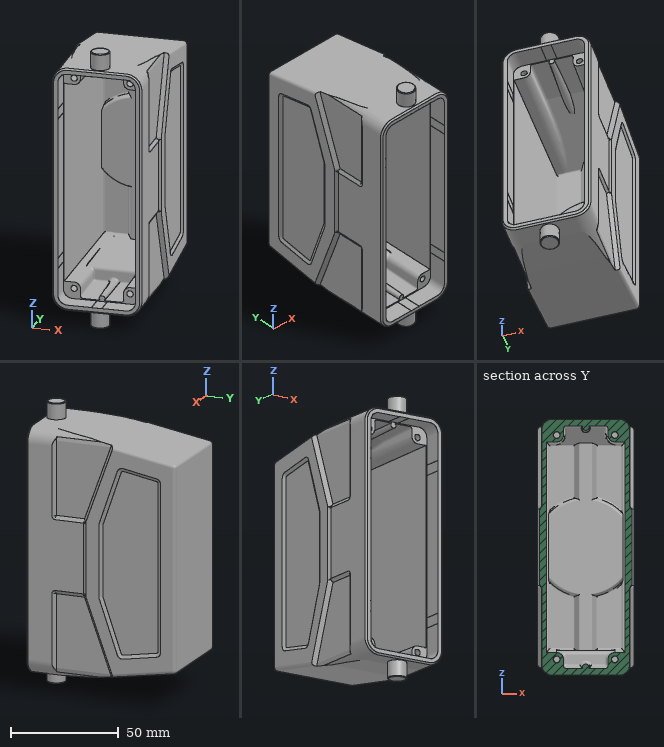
import cadquery as cq
import math

DEPTH = 76.0
BACK_WIDTH = 45.0
FRONT_WIDTH = 43.2
HALF_HEIGHT = 60.0
FRONT_BODY_DEPTH = 45.0
FRONT_CORNER_R = 7.6
RIM_CHAMFER = 0.8

COLLAR_DEPTH = 11.2
BEND_DEPTH = 31.8
BEND_HALF_HEIGHT = 58.0
BEND_FACET = 0.9
BACK_HALF_HEIGHT = 50.6
BACK_EDGE_R = 1.8

PANEL_X = 20.5
PANEL_FRONT = 14.8
PANEL_INNER_Z = 19.0
PANEL_WALL_ANGLE = 59.0
PANEL_BEVEL_Z = 55.1
PANEL_BEVEL_ANGLE = 14.0

BLOCK_FRONT = 29.0
BLOCK_SHOULDER_DEPTH = 42.2
BLOCK_SHOULDER_Z = 55.1
BLOCK_EDGE_WIDTH = 1.7
BLOCK_RAMP_Z = 17.8

RECESS_DEPTH = 1.0
RECESS_WALL_ANGLE = 59.0
RECESS_FRONT = 38.7
RECESS_BACK = 66.6
RECESS_CORNER_DEPTH = 48.2
RECESS_STRAIGHT_Z = 17.4
RECESS_CORNER_Z = 44.7
RECESS_BACK_DROP = 3.2
RECESS_CORNER_R = 1.0

PEG_D = 9.0
PEG_DEPTH = 6.1
PEG_TIP = 68.0
PEG_CHAMFER = 0.4
PEG_OVERLAP = 1.0

CAVITY_HALF_WIDTH = 18.7
CAVITY_HALF_HEIGHT = 57.2
CAVITY_CORNER_R = 4.5
CAVITY_DRAFT = 1.0
CAVITY_FLOOR = 73.0
CAVITY_BEND_Z = 55.4
CAVITY_BACK_Z = 47.6
MOUTH_DEPTH = 9.2
MOUTH_STEP = 0.25

GROOVE_DEPTH = 0.05
GROOVE_WIDTH = 5.0
GROOVE_Z = 37.0

SCREW_X = 13.5
SCREW_Z = 52.1
SCREW_HOLE_D = 3.0
SCREW_HOLE_DEPTH = 15.0
BOSS_R = 3.1
BOSS_DRAFT = 1.3
BOSS_FOOT_R = 1.2

RIB_Z = 55.8
RIB_FRONT_R = 1.4
RIB_DRAFT = 2.0

LEDGE_DEPTH = 30.0
LEDGE_TOP_Z = 48.0
LEDGE_EDGE_R = 2.2
LEDGE_FOOT_R = 1.1

RAISED_HEIGHT = 4.0
RAISED_EDGE_R = 0.7
DISC_TOP_R = 22.4
DISC_BASE_R = 23.4
FLOOR_EDGE_R = 0.7
BAR_TOP_HALF_WIDTH = 3.0
BAR_BASE_HALF_WIDTH = 5.2

OVERRUN = 10.0
PICK_MARGIN = 0.1


def facing_back(y):
    """Workplane at depth y whose extrusions run toward the back (+Y); its local Y is -Z."""
    return cq.Workplane(cq.Plane(origin=(0, y, 0), xDir=(1, 0, 0), normal=(0, 1, 0)))


def side_plane(x=0.0):
    """Workplane at x, drawn in (Y, Z), whose extrusions run toward +X."""
    return cq.Workplane("YZ", origin=(x, 0, 0))


def mirrored_in_z(points):
    """Closed outline made from its upper half, given from front to back."""
    return points + [(y, -z) for y, z in reversed(points)]


def on_both_sides(shape):
    return shape.union(shape.mirror("YZ"))


def envelope(width):
    gentle_slope = (HALF_HEIGHT - BEND_HALF_HEIGHT) / (BEND_DEPTH - COLLAR_DEPTH)
    rear_slope = (BEND_HALF_HEIGHT - BACK_HALF_HEIGHT) / (DEPTH - BEND_DEPTH)
    half_facet = BEND_FACET / 2
    upper = [
        (0, HALF_HEIGHT),
        (COLLAR_DEPTH, HALF_HEIGHT),
        (BEND_DEPTH - half_facet, BEND_HALF_HEIGHT + gentle_slope * half_facet),
        (BEND_DEPTH + half_facet, BEND_HALF_HEIGHT - rear_slope * half_facet),
        (DEPTH, BACK_HALF_HEIGHT),
    ]
    return side_plane(-width / 2).polyline(mirrored_in_z(upper)).close().extrude(width)


def front_body():
    body = facing_back(0).rect(FRONT_WIDTH, 2 * HALF_HEIGHT).extrude(FRONT_BODY_DEPTH)
    body = body.edges("|Y").fillet(FRONT_CORNER_R)
    body = body.faces("<Y").chamfer(RIM_CHAMFER)
    return body.intersect(envelope(FRONT_WIDTH))


def side_panel(direction):
    """Cutter for the upper (+1) or lower (-1) pair of flank panels."""
    height = HALF_HEIGHT + OVERRUN - PANEL_INNER_Z
    length = DEPTH + OVERRUN - PANEL_FRONT
    centre = (PANEL_FRONT + length / 2, direction * (PANEL_INNER_Z + height / 2))
    cutter = side_plane(PANEL_X).center(*centre).rect(length, height)
    cutter = cutter.extrude(BACK_WIDTH / 2 - PANEL_X, taper=-PANEL_WALL_ANGLE)
    rise = HALF_HEIGHT - PANEL_BEVEL_Z
    inset = rise * math.tan(math.radians(PANEL_BEVEL_ANGLE))
    bevel = [
        (PANEL_X, direction * PANEL_BEVEL_Z),
        (PANEL_X - inset, direction * HALF_HEIGHT),
        (PANEL_X, direction * HALF_HEIGHT),
    ]
    wedge = cq.Workplane("XZ", origin=(0, PANEL_FRONT, 0)).polyline(bevel).close()
    cutter = cutter.union(wedge.extrude(PANEL_FRONT - DEPTH))
    return on_both_sides(cutter)


def rear_block():
    slope = (BLOCK_SHOULDER_DEPTH - BLOCK_FRONT) / (BLOCK_SHOULDER_Z - PANEL_INNER_Z)
    top = HALF_HEIGHT + OVERRUN
    upper = [
        (BLOCK_FRONT, PANEL_INNER_Z),
        (BLOCK_FRONT + slope * (top - PANEL_INNER_Z), top),
        (DEPTH + OVERRUN, top),
    ]
    outline = mirrored_in_z(upper)
    raise_height = BACK_WIDTH / 2 - PANEL_X
    taper = math.degrees(math.atan2(BLOCK_EDGE_WIDTH, raise_height))
    core = side_plane().polyline(outline).close().extrude(PANEL_X, both=True)
    cheek = side_plane(PANEL_X).polyline(outline).close().extrude(raise_height, taper=taper)
    ramp = [
        (FRONT_WIDTH / 2, BLOCK_FRONT),
        (BACK_WIDTH / 2, BLOCK_FRONT + BLOCK_EDGE_WIDTH),
        (FRONT_WIDTH / 2, BLOCK_FRONT + BLOCK_EDGE_WIDTH),
    ]
    front_edge = cq.Workplane("XY").polyline(ramp).close().extrude(BLOCK_RAMP_Z, both=True)
    cheek = cheek.union(front_edge)
    rounded = envelope(BACK_WIDTH)
    rounded = rounded.faces(">X or <X or >Y").edges("not(<Y)").fillet(BACK_EDGE_R)
    return core.union(on_both_sides(cheek)).intersect(rounded)


def side_recess():
    upper = [
        (RECESS_FRONT, RECESS_STRAIGHT_Z),
        (RECESS_CORNER_DEPTH, RECESS_CORNER_Z),
        (RECESS_BACK, RECESS_CORNER_Z - RECESS_BACK_DROP),
    ]
    outline = cq.Sketch().polygon(mirrored_in_z(upper) + upper[:1])
    outline = outline.vertices(">X or >Y or <Y").fillet(RECESS_CORNER_R)
    cutter = side_plane(BACK_WIDTH / 2 - RECESS_DEPTH).placeSketch(outline)
    cutter = cutter.extrude(RECESS_DEPTH, taper=-RECESS_WALL_ANGLE)
    return on_both_sides(cutter)


def pegs():
    """The upper and lower pegs, each starting inside its end wall."""
    root = HALF_HEIGHT - PEG_OVERLAP
    peg = cq.Workplane("XY", origin=(0, PEG_DEPTH, root)).circle(PEG_D / 2)
    peg = peg.extrude(PEG_TIP - root).faces(">Z").chamfer(PEG_CHAMFER)
    return peg, peg.mirror("XY")


def cavity_space():
    mouth = facing_back(0).rect(2 * CAVITY_HALF_WIDTH, 2 * CAVITY_HALF_HEIGHT)
    mouth = mouth.extrude(MOUTH_DEPTH).edges("|Y").fillet(CAVITY_CORNER_R)
    deep = facing_back(0).sketch()
    deep = deep.rect(2 * (CAVITY_HALF_WIDTH - MOUTH_STEP), 2 * CAVITY_HALF_HEIGHT)
    deep = deep.vertices().fillet(CAVITY_CORNER_R).finalize()
    deep = deep.extrude(CAVITY_FLOOR, taper=CAVITY_DRAFT)
    upper = [
        (0, CAVITY_HALF_HEIGHT),
        (BEND_DEPTH, CAVITY_BEND_Z),
        (CAVITY_FLOOR, CAVITY_BACK_Z),
    ]
    ends = side_plane().polyline(mirrored_in_z(upper)).close().extrude(BACK_WIDTH, both=True)
    return deep.intersect(ends).union(mouth)


def corner_boss(x_side, z_side):
    width = SCREW_X + OVERRUN
    height = SCREW_Z + OVERRUN
    inner_x = SCREW_X - BOSS_R
    inner_z = SCREW_Z - BOSS_R
    centre = (x_side * (inner_x + width / 2), -z_side * (inner_z + height / 2))
    boss = facing_back(MOUTH_DEPTH).center(*centre).sketch().rect(width, height)
    boss = boss.vertices().fillet(BOSS_R).finalize()
    return boss.extrude(DEPTH - MOUTH_DEPTH, taper=-BOSS_DRAFT)


def boss_foot(x_side, z_side):
    """Selects the edges where one boss meets the end wall."""
    near_x, far_x = sorted((x_side * SCREW_X / 2, x_side * (SCREW_X - BOSS_R / 2)))
    near_z, far_z = sorted((z_side * SCREW_Z, z_side * HALF_HEIGHT))
    return cq.selectors.BoxSelector(
        (near_x, MOUTH_DEPTH + PICK_MARGIN, near_z), (far_x, CAVITY_FLOOR, far_z)
    )


def end_rib(z_side):
    rib = facing_back(MOUTH_DEPTH).center(0, -z_side * RIB_Z).circle(RIB_FRONT_R)
    return rib.extrude(CAVITY_FLOOR - MOUTH_DEPTH, taper=-RIB_DRAFT)


def lower_ledge():
    length = CAVITY_FLOOR - LEDGE_DEPTH
    height = HALF_HEIGHT - LEDGE_TOP_Z
    centre = (LEDGE_DEPTH + length / 2, -LEDGE_TOP_Z - height / 2)
    ledge = side_plane().center(*centre).rect(length, height).extrude(SCREW_X, both=True)
    return ledge.faces("<Y").edges(">Z").fillet(LEDGE_EDGE_R)


def ledge_foot():
    """Selects the edges where the front of the ledge meets the wall, rib and bosses."""
    return cq.selectors.BoxSelector(
        (-SCREW_X, LEDGE_DEPTH - PICK_MARGIN, -HALF_HEIGHT),
        (SCREW_X, LEDGE_DEPTH + PICK_MARGIN, -LEDGE_TOP_Z - LEDGE_EDGE_R - PICK_MARGIN),
    )


def raised_floor():
    top = CAVITY_FLOOR - RAISED_HEIGHT
    disc = facing_back(top).circle(DISC_TOP_R)
    disc = disc.workplane(offset=RAISED_HEIGHT).circle(DISC_BASE_R).loft()
    section = [
        (-BAR_BASE_HALF_WIDTH, CAVITY_FLOOR),
        (-BAR_TOP_HALF_WIDTH, top),
        (BAR_TOP_HALF_WIDTH, top),
        (BAR_BASE_HALF_WIDTH, CAVITY_FLOOR),
    ]
    bar = cq.Workplane("XY").polyline(section).close().extrude(HALF_HEIGHT, both=True)
    raised = disc.union(bar)
    return raised.faces("<Y").edges().fillet(RAISED_EDGE_R)


def cavity():
    corners = [(x_side, z_side) for z_side in (1, -1) for x_side in (1, -1)]
    space = cavity_space()
    for x_side, z_side in corners:
        space = space.cut(corner_boss(x_side, z_side))
    for x_side, z_side in corners:
        space = space.edges(boss_foot(x_side, z_side)).fillet(BOSS_FOOT_R)
    for z_side in (1, -1):
        space = space.cut(end_rib(z_side))
    space = space.cut(raised_floor())
    space = space.faces(">Y").edges().fillet(FLOOR_EDGE_R)
    space = space.cut(lower_ledge())
    return space.edges(ledge_foot()).fillet(LEDGE_FOOT_R)


def mouth_grooves():
    reach_x = 2 * (CAVITY_HALF_WIDTH + GROOVE_DEPTH)
    reach_z = 2 * (CAVITY_HALF_HEIGHT + GROOVE_DEPTH)
    grooves = facing_back(0).rect(GROOVE_WIDTH, reach_z).extrude(MOUTH_DEPTH)
    for z in (GROOVE_Z, -GROOVE_Z):
        groove = facing_back(0).center(0, z).rect(reach_x, GROOVE_WIDTH)
        grooves = grooves.union(groove.extrude(MOUTH_DEPTH))
    return grooves


def screw_holes():
    places = [(x, z) for x in (-SCREW_X, SCREW_X) for z in (-SCREW_Z, SCREW_Z)]
    holes = facing_back(MOUTH_DEPTH).pushPoints(places).circle(SCREW_HOLE_D / 2)
    return holes.extrude(SCREW_HOLE_DEPTH)


hood = front_body().cut(side_panel(1)).cut(side_panel(-1))
hood = hood.union(rear_block()).cut(side_recess())
hood = hood.cut(cavity()).cut(mouth_grooves()).cut(screw_holes())
for peg in pegs():
    hood = hood.union(peg)
result = hood